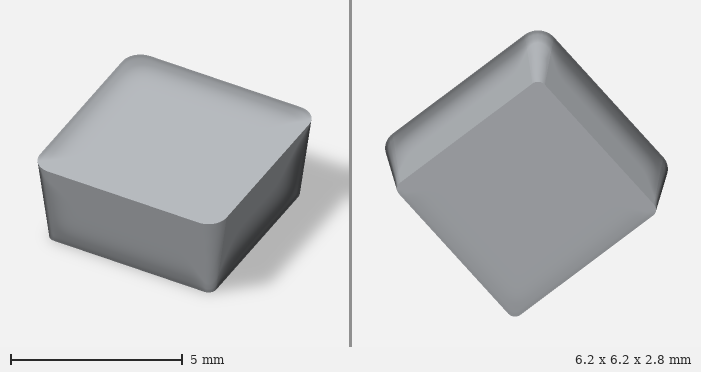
import cadquery as cq

top_side = 6.2
height = 2.8
top_corner_radius = 0.6
relief_angle = 7.0

top_outline = cq.Sketch().rect(top_side, top_side).vertices().fillet(top_corner_radius)

result = cq.Workplane("XY").placeSketch(top_outline).extrude(-height, taper=relief_angle)